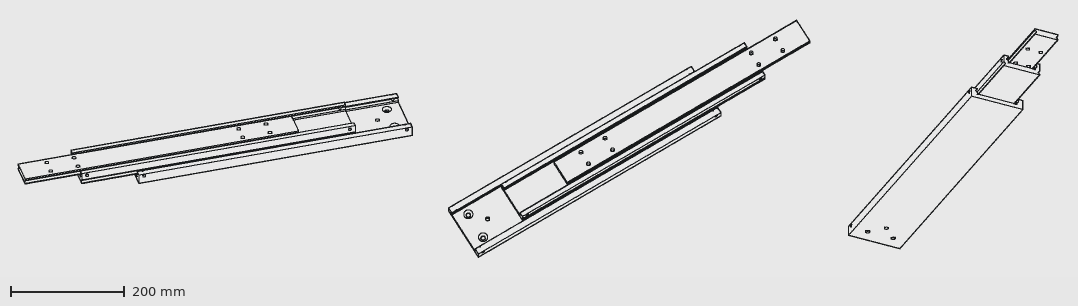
import cadquery as cq
import math


TOTAL_LENGTH = 700.0
STAGGERS_PER_RAIL = 5
STAGGER = TOTAL_LENGTH / (STAGGERS_PER_RAIL + 2)
RAIL_LENGTH = STAGGERS_PER_RAIL * STAGGER
OUTER_BACK = TOTAL_LENGTH / 2
MIDDLE_BACK = OUTER_BACK - STAGGER
INNER_BACK = MIDDLE_BACK - STAGGER

OUTER_WIDTH = 100.0
OUTER_OPENING = 78.0
OUTER_TOP = 19.0
OUTER_FLOOR = 8.0

MIDDLE_WIDTH = 70.0
MIDDLE_OPENING = 53.0
MIDDLE_BOTTOM = 10.0
MIDDLE_FLOOR = 19.0
SLIDE_TOP = 32.0

INNER_WIDTH = 45.0
INNER_BOTTOM = 21.0

LOWER_GROOVE_Z = 15.0
UPPER_GROOVE_Z = 26.0
GROOVE_HALF_HEIGHT = 3.5
GROOVE_DEPTH = 3.0
GROOVE_BULGE = 0.35

STOP_HOLE_DIAMETER = 5.0
STOP_HOLE_INSET = 10.0

SCREW_HOLE_DIAMETER = 8.0
SCREW_HEAD_DIAMETER = 16.0
SCREW_HEAD_ANGLE = 90
SCREW_HOLE_SPACING = 50.0
SCREW_HOLE_INSET = 25.0
CENTRE_HOLE_DIAMETER = 7.0
CENTRE_HOLE_INSET = 50.0

LOAD_HOLE_DIAMETER = 6.65
LOAD_HOLE_SPACING = 25.0
LOAD_HOLE_PITCH = 50.0


def block(width, bottom, top, back):
    """Bar of one rail length whose +Y end is at back."""
    return (
        cq.Workplane("XY", origin=(0, back - RAIL_LENGTH / 2, bottom))
        .box(width, RAIL_LENGTH, top - bottom, centered=(True, True, False))
    )


def groove_pair(face_width, z, back):
    """Pointed-arch bars centred on both side faces; cutting them leaves a ball groove in each face."""
    chord = math.hypot(GROOVE_DEPTH, GROOVE_HALF_HEIGHT)
    arc_x = GROOVE_DEPTH / 2 + GROOVE_BULGE * GROOVE_HALF_HEIGHT / chord
    arc_z = GROOVE_HALF_HEIGHT / 2 + GROOVE_BULGE * GROOVE_DEPTH / chord
    right_bar = (
        cq.Workplane("XZ", origin=(face_width / 2, back, z))
        .moveTo(0, -GROOVE_HALF_HEIGHT)
        .threePointArc((arc_x, -arc_z), (GROOVE_DEPTH, 0))
        .threePointArc((arc_x, arc_z), (0, GROOVE_HALF_HEIGHT))
        .threePointArc((-arc_x, arc_z), (-GROOVE_DEPTH, 0))
        .threePointArc((-arc_x, -arc_z), (0, -GROOVE_HALF_HEIGHT))
        .close()
        .extrude(RAIL_LENGTH)
    )
    return right_bar.union(right_bar.mirror("YZ"))


def stop_holes(width, z, back):
    """Cross drills through both flanges near each end of a rail."""
    ends = [back - STOP_HOLE_INSET, back - RAIL_LENGTH + STOP_HOLE_INSET]
    return (
        cq.Workplane("YZ", origin=(-width / 2, 0, z))
        .pushPoints([(y, 0) for y in ends])
        .circle(STOP_HOLE_DIAMETER / 2)
        .extrude(width)
    )


def channel(width, opening, bottom, floor, top, groove_z, back):
    """U-shaped rail with a ball groove inside each flange and stop holes at both ends."""
    return (
        block(width, bottom, top, back)
        .cut(block(opening, floor, top, back))
        .cut(groove_pair(opening, groove_z, back))
        .cut(stop_holes(width, groove_z, back))
    )


def make_outer_rail():
    """Channel with two countersunk screw holes and a plain hole near the back of its floor."""
    floor_plane = cq.Workplane("XY", origin=(0, 0, OUTER_FLOOR))
    screw_y = OUTER_BACK - SCREW_HOLE_INSET
    return (
        channel(OUTER_WIDTH, OUTER_OPENING, 0, OUTER_FLOOR, OUTER_TOP, LOWER_GROOVE_Z, OUTER_BACK)
        .copyWorkplane(floor_plane)
        .pushPoints([(side * SCREW_HOLE_SPACING / 2, screw_y) for side in (-1, 1)])
        .cskHole(SCREW_HOLE_DIAMETER, SCREW_HEAD_DIAMETER, SCREW_HEAD_ANGLE)
        .copyWorkplane(floor_plane)
        .pushPoints([(0, OUTER_BACK - CENTRE_HOLE_INSET)])
        .hole(CENTRE_HOLE_DIAMETER)
    )


def make_middle_rail():
    """Channel with a second pair of ball grooves along its outer side faces."""
    rail = channel(
        MIDDLE_WIDTH, MIDDLE_OPENING, MIDDLE_BOTTOM, MIDDLE_FLOOR, SLIDE_TOP, UPPER_GROOVE_Z, MIDDLE_BACK
    )
    return rail.cut(groove_pair(MIDDLE_WIDTH, LOWER_GROOVE_Z, MIDDLE_BACK))


def make_inner_rail():
    """Solid bar with a ball groove in each side and two pairs of load holes near each end."""
    front = INNER_BACK - RAIL_LENGTH
    rows = []
    for step in (1, 2):
        rows += [INNER_BACK - step * LOAD_HOLE_PITCH, front + step * LOAD_HOLE_PITCH]
    centres = [(side * LOAD_HOLE_SPACING / 2, y) for side in (-1, 1) for y in rows]
    return (
        block(INNER_WIDTH, INNER_BOTTOM, SLIDE_TOP, INNER_BACK)
        .cut(groove_pair(INNER_WIDTH, UPPER_GROOVE_Z, INNER_BACK))
        .copyWorkplane(cq.Workplane("XY", origin=(0, 0, SLIDE_TOP)))
        .pushPoints(centres)
        .hole(LOAD_HOLE_DIAMETER)
    )


outer_rail = make_outer_rail()
middle_rail = make_middle_rail()
inner_rail = make_inner_rail()

result = cq.Compound.makeCompound([rail.solids().val() for rail in (outer_rail, middle_rail, inner_rail)])